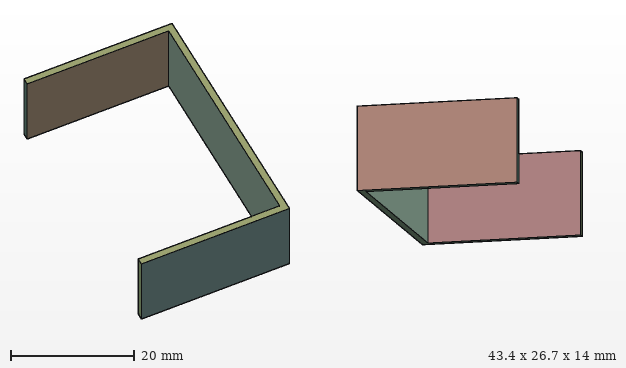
import cadquery as cq

width = 43.4
depth = 26.7
height = 14.0
wall = 1.2

inner_width = width - 2 * wall
inner_depth = depth - wall


def corner_block(x, y, size_x, size_y):
    """Full-height block with its lower front left corner at (x, y, 0)."""
    return cq.Workplane("XY").box(size_x, size_y, height, centered=False).translate((x, y, 0))


outer = corner_block(-width / 2, 0, width, depth)

opening = corner_block(-inner_width / 2, 0, inner_width, inner_depth)

result = outer.cut(opening)